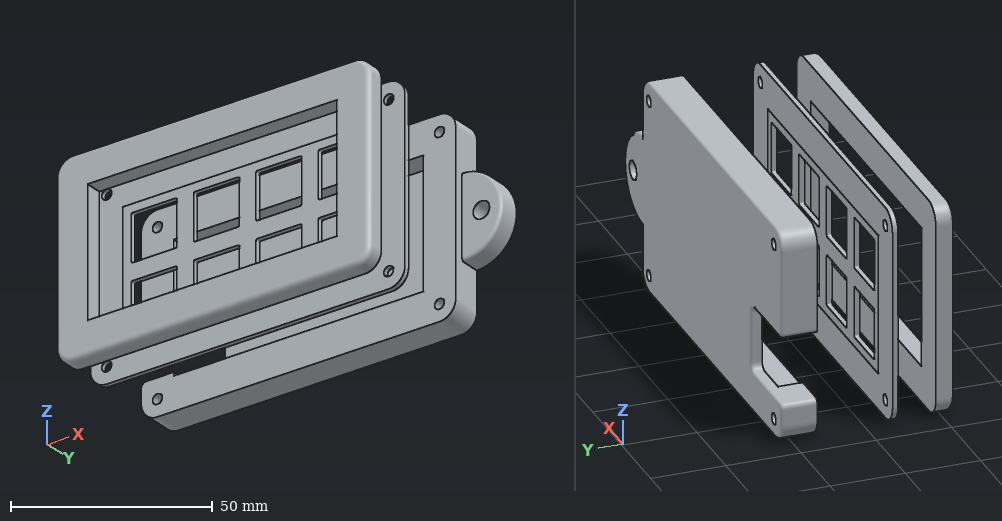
import cadquery as cq

outline_width = 96.3
outline_height = 58.2
corner_radius = 5.0
border = 10.0
window_width = outline_width - 2 * border
window_height = outline_height - 2 * border
left_side = -outline_width / 2
bottom_side = -outline_height / 2

bezel_depth = 5.0
bezel_gap = 10.0
plate_depth = 1.5
plate_gap = 20.0
case_depth = 9.7
plate_front = bezel_depth + bezel_gap
case_front = plate_front + plate_depth + plate_gap
case_back = case_front + case_depth

screw_diameter = 2.9
screw_spacing_x = outline_width - 2 * corner_radius
screw_spacing_z = outline_height - 2 * corner_radius

bezel_fillet = 1.5

key_columns = 4
key_rows = 2
key_size = 14.0
key_corner_radius = 0.5
key_pitch_x = window_width / key_columns
key_pitch_z = window_height / key_rows

case_floor = 3.0
case_fillet = 1.0
slot_length = 20.9
slot_height = 17.9
slot_bottom = bottom_side + 11.1
slot_end_radius = 2.0
slot_mouth_radius = 1.5

tab_radius = 12.5
tab_depth = 7.0
tab_hole_diameter = 5.0
tab_hole_offset = 6.3
overall_width = 108.5
tab_centre_x = left_side + overall_width - tab_radius


def facing_back(front_y):
    """Workplane at front_y whose local X is -X, local Y is +Z and extrusion runs toward +Y."""
    return cq.Workplane("XZ", origin=(0, front_y, 0)).transformed(rotate=(0, 180, 0))


def block(width, height, front_y, depth):
    """Block centred on X = 0 and Z = 0."""
    return facing_back(front_y).rect(width, height).extrude(depth)


def layer(front_y, depth):
    """Block with the shared rounded outline."""
    return block(outline_width, outline_height, front_y, depth).edges("|Y").fillet(corner_radius)


def screw_holes(front_y, depth):
    """Four cylinders on the corner centres."""
    return (
        facing_back(front_y)
        .rect(screw_spacing_x, screw_spacing_z, forConstruction=True)
        .vertices()
        .circle(screw_diameter / 2)
        .extrude(depth)
    )


def make_bezel():
    """Front frame around the window."""
    bezel = layer(0, bezel_depth).faces("<Y").edges().fillet(bezel_fillet)
    return bezel.cut(block(window_width, window_height, 0, bezel_depth))


def make_plate_frame():
    """Middle frame that surrounds the key plate."""
    frame = layer(plate_front, plate_depth)
    frame = frame.cut(block(window_width, window_height, plate_front, plate_depth))
    return frame.cut(screw_holes(plate_front, plate_depth))


def make_key_plate():
    """Plate with a grid of square key holes, filling the middle frame."""
    plate = block(window_width, window_height, plate_front, plate_depth)
    keys = (
        facing_back(plate_front)
        .rarray(key_pitch_x, key_pitch_z, key_columns, key_rows)
        .rect(key_size, key_size)
        .extrude(plate_depth)
        .edges("|Y")
        .fillet(key_corner_radius)
    )
    return plate.cut(keys)


def make_tab():
    """Round keyring tab; its inner half merges into the case wall."""
    tab_front = case_back - tab_depth
    return (
        facing_back(tab_front)
        .center(-tab_centre_x, 0)
        .circle(tab_radius)
        .extrude(tab_depth)
        .edges("%CIRCLE")
        .fillet(case_fillet)
    )


def cut_cable_slot(case):
    """Open slot through the left wall and the floor, rounded at its end and at its mouth."""
    slot = (
        cq.Workplane("XY")
        .box(slot_length, case_depth, slot_height, centered=False)
        .translate((left_side, case_front, slot_bottom))
        .edges("|Y and >X")
        .fillet(slot_end_radius)
    )
    margin = slot_mouth_radius
    mouth_edges = cq.selectors.BoxSelector(
        (left_side - margin, case_front - margin, slot_bottom - margin),
        (left_side + margin, case_back + margin, slot_bottom + slot_height + margin),
    )
    return case.cut(slot).edges("|Y").edges(mouth_edges).fillet(slot_mouth_radius)


def make_case():
    """Back case with pocket, cable slot, screw holes and keyring tab."""
    case = cut_cable_slot(layer(case_front, case_depth))
    case = case.faces(">Y").edges().fillet(case_fillet)
    case = case.union(make_tab())
    case = case.cut(block(window_width, window_height, case_front, case_depth - case_floor))
    case = case.cut(screw_holes(case_front, case_depth))
    tab_hole = (
        facing_back(case_front)
        .center(-tab_centre_x - tab_hole_offset, 0)
        .circle(tab_hole_diameter / 2)
        .extrude(case_depth)
    )
    return case.cut(tab_hole)


bezel = make_bezel()
plate_frame = make_plate_frame()
key_plate = make_key_plate()
case = make_case()

result = cq.Compound.makeCompound([bezel.val(), plate_frame.val(), key_plate.val(), case.val()])